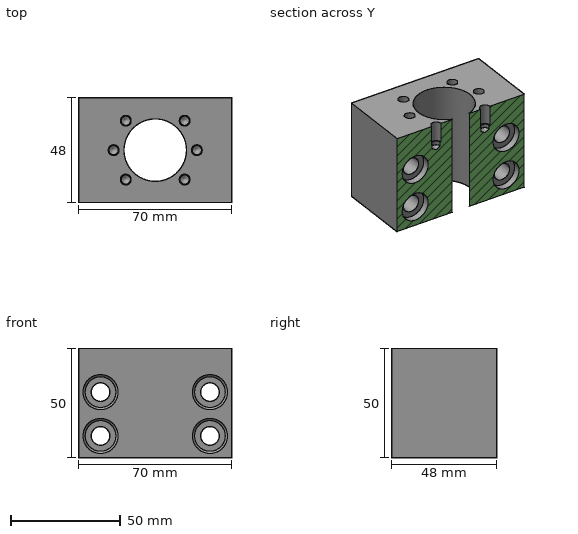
import cadquery as cq
import math

length = 70.0
width = 48.0
height = 50.0

bore_diameter = 28.4

thread_diameter = 5.0
thread_depth = 10.0
pilot_diameter = 4.2
pilot_depth = 12.0
hole_circle_diameter = 38.0
hole_angles = (0, 45, 135, 180, 225, 315)
drill_tip_angle = 118.0

mount_diameter = 8.4
counterbore_diameter = 14.0
counterbore_mouth_diameter = 16.0
counterbore_depth = 14.0
mount_spacing_x = 50.0
mount_heights = (10.0, 30.0)


def make_block():
    return cq.Workplane("XY").box(length, width, height, centered=(True, True, False))


def make_bore():
    return cq.Workplane("XY").circle(bore_diameter / 2).extrude(height)


def make_threaded_hole(angle):
    """Stepped hole in the top face, ending in a conical drill tip."""
    down = cq.Vector(0, 0, -1)
    x = hole_circle_diameter / 2 * math.cos(math.radians(angle))
    y = hole_circle_diameter / 2 * math.sin(math.radians(angle))
    start = cq.Vector(x, y, height)
    tip_start = cq.Vector(x, y, height - pilot_depth)
    pilot_radius = pilot_diameter / 2
    tip_depth = pilot_radius / math.tan(math.radians(drill_tip_angle / 2))
    thread = cq.Solid.makeCylinder(thread_diameter / 2, thread_depth, start, down)
    pilot = cq.Solid.makeCylinder(pilot_radius, pilot_depth, start, down)
    tip = cq.Solid.makeCone(pilot_radius, 0, tip_depth, tip_start, down)
    return thread.fuse(pilot, tip)


def make_mount_hole(x, z):
    """Through hole with a counterbore and a 45 degree conical mouth."""
    inward = cq.Vector(0, 1, 0)
    start = cq.Vector(x, -width / 2, z)
    counterbore_radius = counterbore_diameter / 2
    mouth_radius = counterbore_mouth_diameter / 2
    mouth_depth = mouth_radius - counterbore_radius
    mouth = cq.Solid.makeCone(mouth_radius, counterbore_radius, mouth_depth, start, inward)
    counterbore = cq.Solid.makeCylinder(counterbore_radius, counterbore_depth, start, inward)
    through = cq.Solid.makeCylinder(mount_diameter / 2, width, start, inward)
    return through.fuse(counterbore, mouth)


result = make_block().cut(make_bore())

for angle in hole_angles:
    result = result.cut(cq.Workplane(make_threaded_hole(angle)))

for x in (-mount_spacing_x / 2, mount_spacing_x / 2):
    for z in mount_heights:
        result = result.cut(cq.Workplane(make_mount_hole(x, z)))